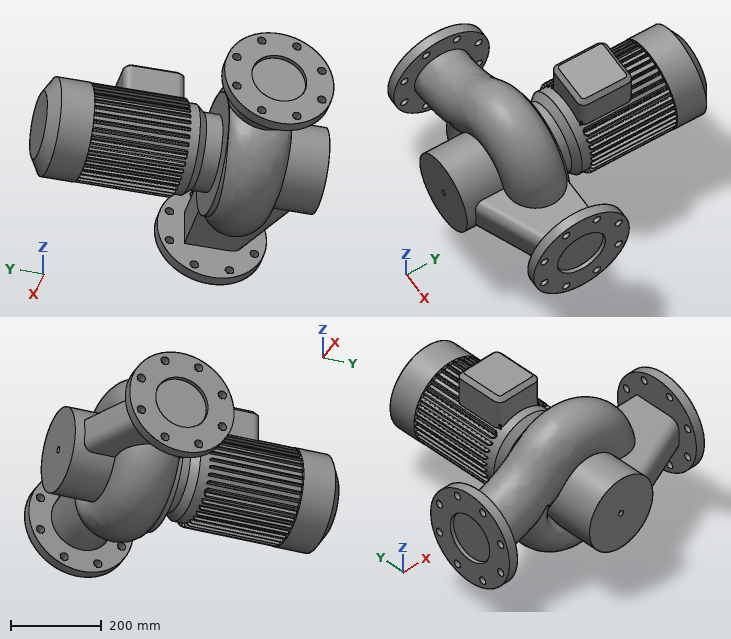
import cadquery as cq
import math


FACE_TO_FACE = 600.0
FLANGE_DIAMETER = 250.0
FLANGE_THICKNESS = 25.0
FLANGE_INNER_X = FACE_TO_FACE / 2 - FLANGE_THICKNESS
BOLT_CIRCLE_DIAMETER = 210.0
BOLT_HOLE_DIAMETER = 19.0
BOLT_COUNT = 8
BORE_DIAMETER = 125.0
BORE_DEPTH = 10.0

TUBE_RADIUS = 71.0
SCROLL_CENTRE = (0.0, 12.0)
SCROLL_RADIUS = 112.0
SCROLL_START_ANGLE = 105.0
OUTLET_BENDS = [(-184.0, 24.0), (-128.0, 53.0), (-85.0, 87.0)]

TONGUE_STATIONS = [
    (-90, SCROLL_RADIUS - SCROLL_CENTRE[1], TUBE_RADIUS),
    (-125, 117.0, 57.0),
    (-160, 136.0, 43.0),
    (-196, 133.0, 25.0),
]

HUB_DIAMETER = 195.0
HUB_FRONT_Y = -170.0
COVER_DIAMETER = 278.0
COVER_THICKNESS = 14.0
COVER_BACK_Y = 72.0
CENTRE_HOLE_DIAMETER = 14.0
CENTRE_HOLE_DEPTH = 8.0

RIB_WIDTH = 86.0
RIB_ROOT_X = 70.0
RIB_BACK_Y = 63.0
RIB_FRONT_Y_AT_FLANGE = -70.0
RIB_SLOPE = 23.4
RIB_CORNER_RADIUS = 25.0

LANTERN_RADIUS = 87.5
BODY_CONE_START_Y = 109.5
BODY_CONE_END_Y = 127.5
BODY_RADIUS = 102.5
FINS_START_Y = 150.0
FAN_COVER_START_Y = 371.0
FAN_COVER_RADIUS = 112.0
FAN_CONE_START_Y = 447.0
FAN_CONE_END_RADIUS = 76.0
MOTOR_END_Y = 470.0

FIN_THICKNESS = 2.5
FIN_PITCH_ANGLE = 9.0
FINS_PER_HALF_SIDE = 5
FIN_TIP_RADIUS = 111.0
FIN_END_CHAMFER = 3.5

BOX_WIDTH = 127.0
BOX_LENGTH = 139.0
BOX_TOP_Z = 168.0
BOX_BOTTOM_Z = 84.0
BOX_CORNER_RADIUS = 18.0
BOX_TOP_CHAMFER = 10.5


def y_cylinder(radius, start, end):
    """Cylinder on the shaft axis between two Y positions."""
    return cq.Workplane("XZ", origin=(0, start, 0)).circle(radius).extrude(start - end)


def flange(outer_x, inward):
    """Drilled flange with a shallow bore; `inward` is +1 or -1 along X."""
    face = cq.Workplane("YZ", origin=(outer_x, 0, 0))
    disc = face.circle(FLANGE_DIAMETER / 2).extrude(inward * FLANGE_THICKNESS)
    bolt_holes = (
        face.polarArray(BOLT_CIRCLE_DIAMETER / 2, 180 / BOLT_COUNT, 360, BOLT_COUNT)
        .circle(BOLT_HOLE_DIAMETER / 2)
        .extrude(inward * FLANGE_THICKNESS)
    )
    bore = face.circle(BORE_DIAMETER / 2).extrude(inward * BORE_DEPTH)
    return disc.cut(bolt_holes).cut(bore)


def polar_point(angle, radius, centre=(0.0, 0.0)):
    """Point in the XZ plane at an angle from +X around a centre."""
    turn = math.radians(angle)
    return cq.Vector(centre[0] + radius * math.cos(turn), 0, centre[1] + radius * math.sin(turn))


def tube(centreline):
    """Round tube along a curve in the XZ plane."""
    section = cq.Plane(origin=centreline.startPoint(), xDir=(0, -1, 0), normal=centreline.tangentAt(0))
    return cq.Workplane(section).circle(TUBE_RADIUS).sweep(cq.Workplane(obj=centreline))


def scroll_and_outlet():
    """Scroll around the shaft, and the outlet that leads from it to the flange."""
    arc_angles = [SCROLL_START_ANGLE, (SCROLL_START_ANGLE - 90) / 2, -90]
    arc_points = [polar_point(angle, SCROLL_RADIUS, SCROLL_CENTRE) for angle in arc_angles]
    scroll_line = cq.Edge.makeThreePointArc(*arc_points)
    outlet_points = [cq.Vector(FLANGE_THICKNESS / 2 - FACE_TO_FACE / 2, 0, 0)]
    outlet_points += [cq.Vector(x, 0, z) for x, z in OUTLET_BENDS]
    outlet_points.append(arc_points[0])
    outlet_line = cq.Edge.makeSpline(outlet_points, tangents=[cq.Vector(1, 0, 0), scroll_line.tangentAt(0)])
    return tube(scroll_line).union(tube(outlet_line))


def tongue():
    """End of the scroll, which narrows radially and runs into the outlet."""
    sections = []
    for angle, crest_radius, half_width in TONGUE_STATIONS:
        turn = math.radians(angle)
        normal = cq.Vector(math.sin(turn), 0, -math.cos(turn))
        plane = cq.Plane(origin=polar_point(angle, crest_radius), xDir=(0, 1, 0), normal=normal)
        sections.append(cq.Workplane(plane).ellipse(TUBE_RADIUS, half_width).wires().val())
    return cq.Workplane(cq.Solid.makeLoft(sections))


def hub():
    """Front hub through the volute, with the back cover."""
    barrel = y_cylinder(HUB_DIAMETER / 2, HUB_FRONT_Y, COVER_BACK_Y)
    cover = y_cylinder(COVER_DIAMETER / 2, COVER_BACK_Y - COVER_THICKNESS, COVER_BACK_Y)
    return barrel.union(cover)


def centre_hole():
    """Conical centre hole in the front face of the hub."""
    return cq.Workplane(
        cq.Solid.makeCone(
            CENTRE_HOLE_DIAMETER / 2, 0, CENTRE_HOLE_DEPTH, cq.Vector(0, HUB_FRONT_Y, 0), cq.Vector(0, 1, 0)
        )
    )


def rib():
    """Rib with a sloping, rounded front side."""
    run = FLANGE_INNER_X - RIB_ROOT_X
    root_front_y = RIB_FRONT_Y_AT_FLANGE - run * math.tan(math.radians(RIB_SLOPE))
    outline = [
        (RIB_ROOT_X, RIB_BACK_Y),
        (FLANGE_INNER_X, RIB_BACK_Y),
        (FLANGE_INNER_X, RIB_FRONT_Y_AT_FLANGE),
        (RIB_ROOT_X, root_front_y),
    ]
    plate = cq.Workplane("XY").polyline(outline).close().extrude(RIB_WIDTH / 2, both=True)
    return plate.edges("(not |Y) and (not |X) and (not |Z)").fillet(RIB_CORNER_RADIUS)


def motor_body():
    """Turned body: lantern, tapered shield, finned stretch and fan cover."""
    profile = [
        (0, COVER_BACK_Y),
        (LANTERN_RADIUS, COVER_BACK_Y),
        (LANTERN_RADIUS, BODY_CONE_START_Y),
        (BODY_RADIUS, BODY_CONE_END_Y),
        (BODY_RADIUS, FAN_COVER_START_Y),
        (FAN_COVER_RADIUS, FAN_COVER_START_Y),
        (FAN_COVER_RADIUS, FAN_CONE_START_Y),
        (FAN_CONE_END_RADIUS, MOTOR_END_Y),
        (0, MOTOR_END_Y),
    ]
    return cq.Workplane("XY").polyline(profile).close().revolve(360, (0, 0, 0), (0, 1, 0))


def fins():
    """Flat fins, horizontal at the sides and vertical above and below."""
    length = FAN_COVER_START_Y - FINS_START_Y
    middle_y = (FAN_COVER_START_Y + FINS_START_Y) / 2
    blades = cq.Workplane("XY")
    for index in range(FINS_PER_HALF_SIDE):
        offset = FIN_TIP_RADIUS * math.sin(math.radians((index + 0.5) * FIN_PITCH_ANGLE))
        for side in (-1, 1):
            for sign in (-1, 1):
                tip = side * FAN_COVER_RADIUS
                root = side * BODY_RADIUS * math.cos(math.radians(45))
                depth = abs(tip - root)
                centre = (tip + root) / 2
                flat = cq.Workplane("XY", origin=(centre, middle_y, sign * offset))
                blades = blades.add(flat.box(depth, length, FIN_THICKNESS))
                upright = cq.Workplane("XY", origin=(sign * offset, middle_y, centre))
                blades = blades.add(upright.box(FIN_THICKNESS, length, depth))
    drum = y_cylinder(FIN_TIP_RADIUS, FINS_START_Y, FAN_COVER_START_Y)
    drum = drum.faces("<Y").chamfer(FIN_END_CHAMFER)
    return drum.intersect(blades.combine())


def terminal_box():
    """Terminal box on top of the motor, with rounded corners and a chamfered lid."""
    box = (
        cq.Workplane("XY", origin=(0, FINS_START_Y + BOX_LENGTH / 2, BOX_BOTTOM_Z))
        .rect(BOX_WIDTH, BOX_LENGTH)
        .extrude(BOX_TOP_Z - BOX_BOTTOM_Z)
    )
    return box.edges("|Z").fillet(BOX_CORNER_RADIUS).faces(">Z").chamfer(BOX_TOP_CHAMFER)


result = (
    scroll_and_outlet()
    .union(tongue())
    .union(hub())
    .union(rib())
    .union(flange(-FACE_TO_FACE / 2, 1))
    .union(flange(FACE_TO_FACE / 2, -1))
    .union(motor_body())
    .union(fins())
    .union(terminal_box())
    .cut(centre_hole())
)